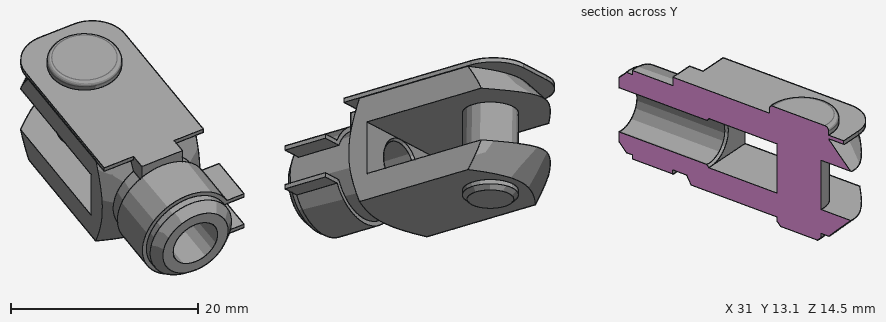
import cadquery as cq
import math


body_width = 12.0
half_body = body_width / 2
fork_tip_x = -7.0
fork_end_x = 15.0
slot_height = 6.0
slot_end_x = 12.0
rear_cone_angle = 30.0
turned_radius = 9.0

shank_radius = 5.0
shank_end_x = 24.0
shank_chamfer = 1.0
bore_radius = 5.46 / 2
bore_mouth_radius = 3.0

pin_radius = 3.0
pin_bottom_z = -7.0
pin_chamfer = 0.5
head_radius = 4.0
head_top_z = 7.5
head_fillet = 0.5

sheet = 0.5
plate_width = 12.2
plate_front_x = -6.0
plate_corner_radius = 4.0
plate_top_z = half_body + sheet
tab_width = 5.0
tab_start_x = slot_end_x
ring_start_x = 16.8
ring_end_x = 22.2
ring_radius = shank_radius + sheet
ring_gap = 4.0
ear_end_y = 7.0


def box(x_range, y_range, z_range):
    """Axis-aligned box between the given limits."""
    lengths = [high - low for low, high in (x_range, y_range, z_range)]
    corner = (x_range[0], y_range[0], z_range[0])
    return cq.Workplane("XY").box(*lengths, centered=False).translate(corner)


def x_cylinder(radius, start_x, end_x):
    """Cylinder along the X axis."""
    return cq.Workplane("YZ", origin=(start_x, 0, 0)).circle(radius).extrude(end_x - start_x)


def make_fork():
    """Square bar with both ends turned to cones about X and a slot across it."""
    bar = box((fork_tip_x, fork_end_x), (-half_body, half_body), (-half_body, half_body))

    apex_x = fork_tip_x - slot_height / 2
    rear_slope = math.tan(math.radians(rear_cone_angle))
    rear_cone_start_x = fork_end_x - rear_slope * (turned_radius - shank_radius)
    turned = (
        cq.Workplane("XZ")
        .moveTo(apex_x, 0)
        .lineTo(apex_x + turned_radius, turned_radius)
        .lineTo(rear_cone_start_x, turned_radius)
        .lineTo(fork_end_x, shank_radius)
        .lineTo(fork_end_x, 0)
        .close()
        .revolve(360, (0, 0, 0), (1, 0, 0))
    )
    half_slot = slot_height / 2
    slot = box((apex_x, slot_end_x), (-half_body, half_body), (-half_slot, half_slot))
    return bar.intersect(turned).cut(slot)


def make_shank():
    """Round shank with a chamfered free end."""
    return x_cylinder(shank_radius, slot_end_x, shank_end_x).faces(">X").chamfer(shank_chamfer)


def make_bore():
    """Through bore of the shank with a 45 degree lead-in at the slot."""
    lead_in = bore_mouth_radius - bore_radius
    return (
        cq.Workplane("XZ")
        .moveTo(slot_end_x, 0)
        .lineTo(slot_end_x, bore_mouth_radius)
        .lineTo(slot_end_x + lead_in, bore_radius)
        .lineTo(shank_end_x, bore_radius)
        .lineTo(shank_end_x, 0)
        .close()
        .revolve(360, (0, 0, 0), (1, 0, 0))
    )


def make_pin():
    """Headed pin through both fork arms."""
    stem = (
        cq.Workplane("XY", origin=(0, 0, pin_bottom_z))
        .circle(pin_radius)
        .extrude(plate_top_z - pin_bottom_z)
        .faces("<Z")
        .chamfer(pin_chamfer)
    )
    head = (
        cq.Workplane("XY", origin=(0, 0, half_body))
        .circle(head_radius)
        .extrude(head_top_z - half_body)
        .faces(">Z")
        .edges()
        .fillet(head_fillet)
    )
    return stem.union(head)


def make_clip_plate():
    """Sheet on top of the fork, rounded at the front, with a tab reaching the ring."""
    half_plate = plate_width / 2
    plate = (
        box((plate_front_x, fork_end_x), (-half_plate, half_plate), (half_body, plate_top_z))
        .edges("|Z and <X")
        .fillet(plate_corner_radius)
    )
    half_tab = tab_width / 2
    tab = box((tab_start_x, ring_start_x), (-half_tab, half_tab), (slot_height / 2, plate_top_z))
    return plate.union(tab)


def make_clip_ring():
    """Ring round the shank, open on the +Y side, with an ear at each lip."""
    half_gap = ring_gap / 2
    ring_x = (ring_start_x, ring_end_x)
    ears = box(ring_x, (0, ear_end_y), (-half_gap - sheet, half_gap + sheet))
    gap = box(ring_x, (0, ear_end_y), (-half_gap, half_gap))
    return x_cylinder(ring_radius, *ring_x).union(ears).cut(gap)


result = (
    make_fork()
    .union(make_clip_plate())
    .union(make_clip_ring())
    .union(make_shank())
    .cut(make_bore())
    .union(make_pin())
)